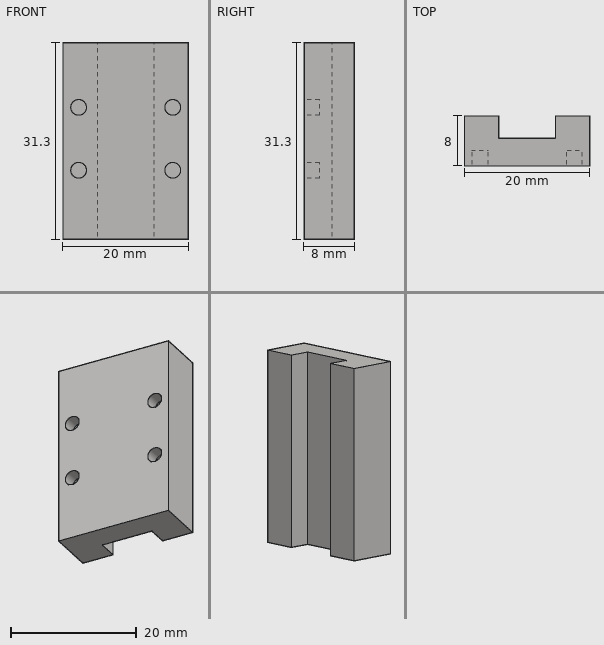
import cadquery as cq

width = 20.0
depth = 8.0
height = 31.3

channel_width = 9.0
channel_depth = 3.55

hole_diameter = 2.5
hole_depth = 2.5
hole_spacing_x = 15.0
hole_spacing_z = 10.02
hole_pattern_rise = 0.35


def make_block():
    return cq.Workplane("XY").box(width, depth, height)


def make_channel():
    channel_center_y = (depth - channel_depth) / 2
    return (
        cq.Workplane("XY")
        .box(channel_width, channel_depth, height)
        .translate((0, channel_center_y, 0))
    )


def make_holes():
    return (
        cq.Workplane("XZ", origin=(0, -depth / 2, hole_pattern_rise))
        .rarray(hole_spacing_x, hole_spacing_z, 2, 2)
        .circle(hole_diameter / 2)
        .extrude(-hole_depth)
    )


result = make_block().cut(make_channel()).cut(make_holes())